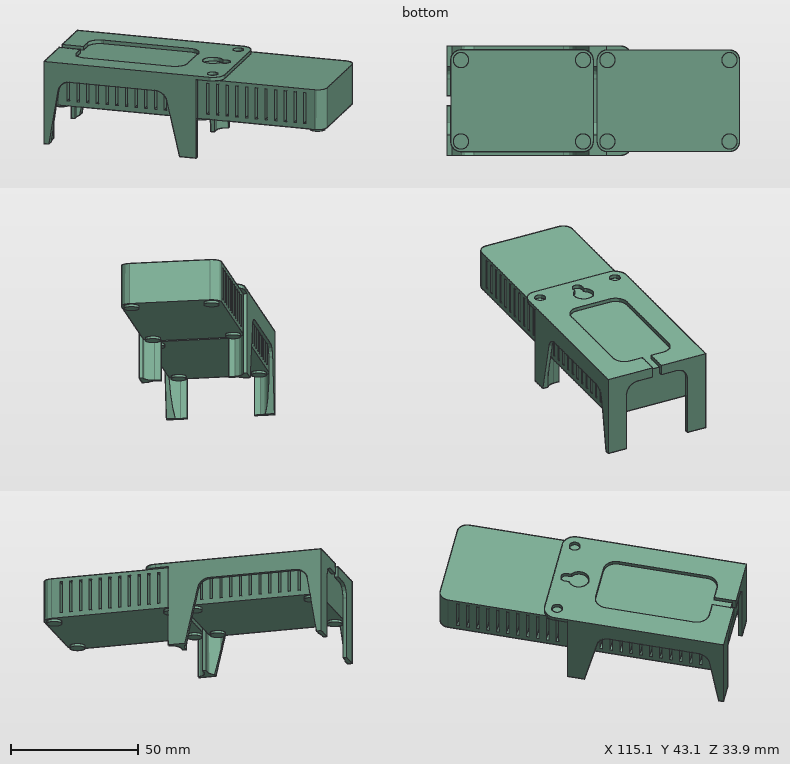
import cadquery as cq


box_length = 56.0
box_width = 40.0
box_height = 16.4
box_corner_radius = 4.0
slot_count = 11
slot_pitch = 4.0
slot_width = 1.0
slot_height = 12.7
slot_floor = 2.1
foot_diameter = 6.0
foot_height = 1.0

wall = 1.5
end_clearance = 0.05
side_clearance = 0.075
bracket_height = 33.9
bracket_width = box_width + 2 * (side_clearance + wall)
side_wall_length = 62.8
plate_length = 73.0
plate_corner_radius = 5.0

end_leg_width = 8.1
end_arch_depth = 4.2
arch_radius = 5.0

side_arch_depth = 7.6
side_arch_foot_start = 2.0
side_arch_foot_end = 55.9
side_arch_top_start = 6.4
side_arch_top_end = 49.8

window_start = 8.8
window_end = 54.5
window_width = 24.6
window_corner_radius = 5.0
cable_slot_width = 3.8
screw_hole_diameter = 4.2
keyhole_head_x = 62.8
keyhole_head_diameter = 8.0
keyhole_neck_diameter = 4.0

pocket_length = box_length + 2 * end_clearance
pocket_width = box_width + 2 * side_clearance
partition_start = wall + pocket_length
partition_end = partition_start + wall
plate_underside = bracket_height - wall
box_underside = plate_underside - box_height
box_starts = [wall + end_clearance, partition_end]
screw_x = plate_length - plate_corner_radius
screw_y = bracket_width / 2 - plate_corner_radius


def block(x_start, x_end, width, z_start, z_end):
    """Block centred on the mid-plane Y = 0."""
    return cq.Workplane("XY").box(
        x_end - x_start, width, z_end - z_start, centered=(False, True, False)
    ).translate((x_start, 0, z_start))


def side_arch():
    """Tapered opening through both side walls, with rounded top corners."""
    arch_top = bracket_height - side_arch_depth
    outline = [
        (side_arch_foot_start, 0),
        (side_arch_top_start, arch_top),
        (side_arch_top_end, arch_top),
        (side_arch_foot_end, 0),
    ]
    arch = cq.Workplane("XZ").polyline(outline).close().extrude(bracket_width / 2, both=True)
    return arch.edges("|Y and >Z").fillet(arch_radius)


def end_arch():
    """Opening along X between the legs, through the end wall and the partition."""
    arch_top = bracket_height - end_arch_depth
    arch = block(0, partition_end, bracket_width - 2 * end_leg_width, 0, arch_top)
    return arch.edges("|X and >Z").fillet(arch_radius)


def box_pocket(x_start):
    """Room for a box below the top plate, open down to the table."""
    pocket = block(x_start, x_start + pocket_length, pocket_width, 0, plate_underside)
    return pocket.edges("|Z").fillet(box_corner_radius + side_clearance)


def plate_hole(x, y, diameter):
    """Round hole through the thickness of the top plate."""
    return cq.Workplane("XY", origin=(x, y, plate_underside)).circle(diameter / 2).extrude(wall)


def plate_openings():
    """Window, cable slot, two screw holes and a keyhole, cut down through the top plate."""
    window = block(window_start, window_end, window_width, plate_underside, bracket_height)
    window = window.edges("|Z").fillet(window_corner_radius)
    cable_slot = block(0, window_start, cable_slot_width, bracket_height - end_arch_depth, bracket_height)
    screw_holes = [plate_hole(screw_x, y, screw_hole_diameter) for y in (-screw_y, screw_y)]
    keyhole_head = plate_hole(keyhole_head_x, 0, keyhole_head_diameter)
    keyhole_neck = block(keyhole_head_x, screw_x, keyhole_neck_diameter, plate_underside, bracket_height)
    keyhole_end = plate_hole(screw_x, 0, keyhole_neck_diameter)
    openings = window
    for opening in (cable_slot, *screw_holes, keyhole_head, keyhole_neck, keyhole_end):
        openings = openings.union(opening)
    return openings


def make_bracket():
    top_plate = block(0, plate_length, bracket_width, plate_underside, bracket_height)
    top_plate = top_plate.edges("|Z and >X").fillet(plate_corner_radius)
    legs = block(0, side_wall_length, bracket_width, 0, plate_underside)
    legs = legs.cut(box_pocket(wall)).cut(box_pocket(partition_end))
    legs = legs.cut(side_arch())
    return top_plate.union(legs).cut(end_arch()).cut(plate_openings())


def make_vented_box(x_start):
    """Box with rounded corners, a row of slots through its width and a foot under each corner."""
    x_middle = x_start + box_length / 2
    body = block(x_start, x_start + box_length, box_width, box_underside, plate_underside)
    body = body.edges("|Z").fillet(box_corner_radius)
    slot_bottom = box_underside + slot_floor
    for index in range(slot_count):
        slot_x = x_middle + (index - (slot_count - 1) / 2) * slot_pitch
        slot = block(
            slot_x - slot_width / 2, slot_x + slot_width / 2,
            box_width, slot_bottom, slot_bottom + slot_height,
        )
        body = body.cut(slot)
    feet = (
        cq.Workplane("XY", origin=(x_middle, 0, box_underside))
        .rect(box_length - 2 * box_corner_radius, box_width - 2 * box_corner_radius, forConstruction=True)
        .vertices()
        .circle(foot_diameter / 2)
        .extrude(-foot_height)
    )
    return body.union(feet)


bracket = make_bracket()
vented_boxes = [make_vented_box(x_start) for x_start in box_starts]

result = cq.Compound.makeCompound([bracket.val(), *[box.val() for box in vented_boxes]])